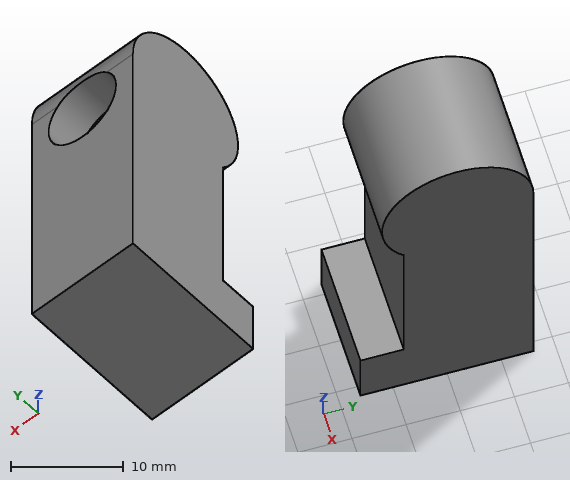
import cadquery as cq
import math

width = 12.0
total_height = 34.0
foot_length = 16.0
foot_height = 6.0
stem_depth = 12.0
head_radius = 7.0
socket_diameter = 8.0
socket_z = 24.2
socket_depth = 4.0

back_y = foot_length / 2
toe_y = back_y - foot_length
stem_front_y = back_y - stem_depth

head_y = back_y - head_radius
head_z = total_height - head_radius

stem_offset = head_y - stem_front_y
neck_z = head_z - math.sqrt(head_radius**2 - stem_offset**2)

diagonal_reach = head_radius * math.sqrt(0.5)


def side_profile():
    """Closed outline in the YZ plane: foot, stem and round head."""
    return (
        cq.Workplane("YZ", origin=(-width / 2, 0, 0))
        .moveTo(back_y, 0)
        .lineTo(toe_y, 0)
        .lineTo(toe_y, foot_height)
        .lineTo(stem_front_y, foot_height)
        .lineTo(stem_front_y, neck_z)
        .threePointArc((head_y - head_radius, head_z), (head_y, total_height))
        .threePointArc(
            (head_y + diagonal_reach, head_z + diagonal_reach),
            (back_y, head_z),
        )
        .close()
    )


def back_socket():
    """Round blind socket in the back; its rim bites slightly into the round head."""
    back_plane = cq.Plane(origin=(0, back_y, socket_z), xDir=(1, 0, 0), normal=(0, -1, 0))
    return cq.Workplane(back_plane).circle(socket_diameter / 2).extrude(socket_depth)


body = side_profile().extrude(width)
result = body.cut(back_socket())